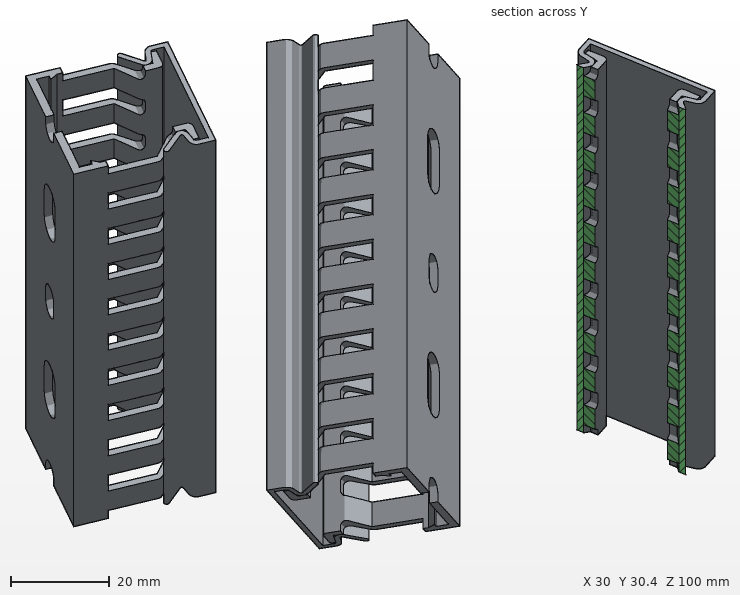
import cadquery as cq
import math


width = 30.0
depth = 30.4
length = 100.0
wall_x = -width / 2

cover_thickness = 1.2
corner_radius = 1.8
corner_y = 26.8
lip_slope = 12.0
leg_slope = 46.0
notch_radius = 0.35
throat_x = -10.1

duct_wall = 1.6
base_thickness = 1.8
rail_top = 27.4
rail_tip_x = -13.3
rail_radius = 1.1
shoulder_radius = 1.5
shoulder_inner_y = 18.4
rail_inner_y = 22.3
rail_bend_radius = 1.0
barb_reach = 1.0
barb_bottom = 4.5
barb_top = 6.2

slot_pitch = 10.0
slot_width = 4.5
slot_bottom = 7.4
slot_top = 23.4
slot_corner_radius = 1.4

small_slot_width = 5.0
small_slot_length = 8.2
large_slot_width = 6.8
large_slot_length = 14.0
large_slot_offset = 25.0

corner_x = wall_x + corner_radius
corner_inner_radius = corner_radius - cover_thickness
throat_radius = notch_radius + cover_thickness
throat_centre_x = throat_x - throat_radius
lip_angle = math.radians(lip_slope)
throat_centre_y = (
    corner_y
    - (throat_centre_x - corner_x) * math.tan(lip_angle)
    - (corner_inner_radius + throat_radius) / math.cos(lip_angle)
)
lip_outward = 270.0 - lip_slope
lip_inward = 90.0 - lip_slope
leg_inward = leg_slope - 90.0
leg_outward = leg_slope + 90.0
leg_angle = math.radians(leg_slope)


def around(centre, radius, degrees):
    """Point at a given direction on a circle."""
    angle = math.radians(degrees)
    return (centre[0] + radius * math.cos(angle), centre[1] + radius * math.sin(angle))


def add_arc(outline, centre, radius, start, end):
    """Draw a line to the start of an arc, then the arc itself."""
    middle = (start + end) / 2
    return outline.lineTo(*around(centre, radius, start)).threePointArc(
        around(centre, radius, middle), around(centre, radius, end)
    )


def lip_line_y(x):
    """Y of the lip's rail-side face at a given X."""
    tangent_y = corner_y - corner_inner_radius / math.cos(lip_angle)
    return tangent_y - (x - corner_x) * math.tan(lip_angle)


def leg_line_y(x):
    """Y of the leg's duct-side face at a given X."""
    tangent_y = throat_centre_y - throat_radius / math.cos(leg_angle)
    return tangent_y + (x - throat_centre_x) * math.tan(leg_angle)


def extrude_both_halves(half_outline):
    """Extrude a closed half outline over the length and mirror it to +X."""
    return half_outline.close().extrude(length).mirror("YZ", union=True).clean()


def make_cover():
    corner = (corner_x, corner_y)
    throat = (throat_centre_x, throat_centre_y)
    tip_radius = cover_thickness / 2
    tip_x = wall_x + tip_radius
    tip = (tip_x, leg_line_y(tip_x) + tip_radius / math.cos(leg_angle))

    outline = cq.Workplane("XY").moveTo(0, depth).lineTo(wall_x, depth)
    outline = add_arc(outline, corner, corner_radius, 180.0, lip_outward)
    outline = add_arc(outline, throat, notch_radius, lip_inward, leg_inward)
    outline = add_arc(outline, tip, tip_radius, leg_outward, leg_outward + 180.0)
    outline = add_arc(outline, throat, throat_radius, leg_inward, lip_inward)
    outline = add_arc(outline, corner, corner_inner_radius, lip_outward, 180.0)
    inner_top = depth - cover_thickness
    outline = outline.lineTo(wall_x + cover_thickness, inner_top).lineTo(0, inner_top)
    return extrude_both_halves(outline)


def make_duct_body():
    shoulder_x = wall_x + shoulder_radius
    shoulder_y = leg_line_y(shoulder_x) - shoulder_radius / math.cos(leg_angle)
    shoulder = (shoulder_x, shoulder_y)
    inner_wall_x = wall_x + duct_wall
    rail_inner_x = throat_x + duct_wall
    shoulder_rise = rail_inner_y - shoulder_inner_y
    shoulder_run = rail_inner_x - inner_wall_x
    rail_turn = math.degrees(math.atan2(shoulder_run, shoulder_rise))
    bend_rise = rail_bend_radius * math.tan(math.radians(rail_turn / 2))
    rail_bend = (rail_inner_x - rail_bend_radius, rail_inner_y + bend_rise)
    rail_corner = (rail_inner_x - rail_radius, rail_top - rail_radius)

    outline = cq.Workplane("XY").moveTo(0, 0).lineTo(wall_x, 0)
    outline = add_arc(outline, shoulder, shoulder_radius, 180.0, leg_outward)
    outline = (
        outline.lineTo(throat_x, leg_line_y(throat_x))
        .lineTo(throat_x, lip_line_y(throat_x))
        .lineTo(rail_tip_x, lip_line_y(rail_tip_x))
        .lineTo(rail_tip_x, rail_top)
    )
    outline = add_arc(outline, rail_corner, rail_radius, 90.0, 0.0)
    outline = add_arc(outline, rail_bend, rail_bend_radius, 0.0, -rail_turn)
    outline = (
        outline.lineTo(inner_wall_x, shoulder_inner_y)
        .lineTo(inner_wall_x, barb_top)
        .lineTo(inner_wall_x + barb_reach, barb_bottom)
        .lineTo(inner_wall_x, barb_bottom)
        .lineTo(inner_wall_x, base_thickness)
        .lineTo(0, base_thickness)
    )
    return extrude_both_halves(outline)


def make_side_slots():
    """Bars across both walls; the first and last are halved by the duct's ends."""
    slot_height = slot_top - slot_bottom
    slot_y = (slot_top + slot_bottom) / 2
    slot_count = round(length / slot_pitch) + 1
    bar = (
        cq.Workplane("XY")
        .box(width, slot_height, slot_width)
        .edges("|X and >Y")
        .fillet(slot_corner_radius)
    )
    return [bar.translate((0, slot_y, i * slot_pitch)) for i in range(slot_count)]


def base_slots(places_z, slot_length, slot_width):
    """Round-ended slots through the base at the given heights."""
    places = [(0, z) for z in places_z]
    slots = cq.Workplane("XZ").pushPoints(places).slot2D(slot_length, slot_width, 90)
    return slots.extrude(-base_thickness)


def make_base_slots():
    """Mounting slots; the small ones at the duct's ends are halved."""
    middle = length / 2
    large_places = [middle - large_slot_offset, middle + large_slot_offset]
    return [
        base_slots([0, middle, length], small_slot_length, small_slot_width),
        base_slots(large_places, large_slot_length, large_slot_width),
    ]


def make_duct():
    duct = make_duct_body()
    for cutter in make_side_slots() + make_base_slots():
        duct = duct.cut(cutter)
    return duct


cover = make_cover()
duct = make_duct()

result = cq.Compound.makeCompound([cover.val(), duct.val()])